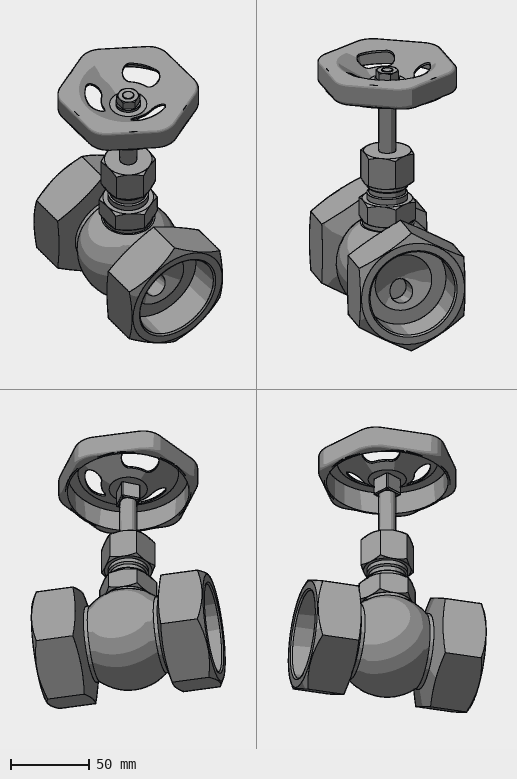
import cadquery as cq
import math

HEX_CORNER_RATIO = 1 / math.cos(math.radians(30))
CHAMFER_SLOPE = math.tan(math.radians(30))

overall_height = 178.3
body_length = 112.0
ball_radius = 32.6
ball_top_z = 27.8
neck_diameter = 49.0
end_flats = 69.9
end_face_diameter = 68.8
end_taper_outer_x = 28.7
end_taper_inner_x = 24.0

socket_diameter = 56.7
socket_mouth_diameter = 58.8
socket_depth = 20.9
cone_mouth_diameter = 37.8
cone_depth = 10.7
port_diameter = 15.0
port_mouth_z = -7.0
port_end_x = 16.5
port_tilt = 10.0

collar_diameter = 32.0
bonnet_flats = 32.3
bonnet_bottom_z = 30.7
bonnet_top_z = 45.0
thread_diameter = 26.0
groove_diameter = 23.7
groove_bottom_z = 49.4
groove_bottom_taper = 0.5
groove_top_z = 52.6
groove_top_taper = 1.0
gland_flats = 30.3
gland_bottom_z = 56.5
gland_top_z = 77.5

stem_diameter = 11.0
square_side = 12.5
square_bottom_z = 112.5
square_corner_chamfer = 0.7
square_end_inset = 0.5
square_end_height = 1.0
square_angle = 30.0

wheel_top_z = overall_height - end_flats * HEX_CORNER_RATIO / 2
wheel_height = 16.2
wheel_bottom_z = wheel_top_z - wheel_height
wheel_flats = 82.0
wheel_corner_radius = 15.0
wheel_edge_radius = 2.9
wheel_angle = 0.5
dish_diameter = 63.5
dish_lip_radius = 3.0
hub_diameter = 23.7
hub_top_z = 125.0
web_thickness = 1.0
rim_ring_diameter = 80.0
rim_ring_drop = 0.65
rim_inner_diameter = 77.7
slot_count = 3
slot_path_radius = 22.5
slot_width = 10.3
slot_half_angle = 19.0
slot_start_angle = 3.0

washer_diameter = 15.9
washer_height = 1.6
nut_flats = 13.0
nut_top_z = 132.5
tip_diameter = 7.3
tip_height = 0.4
tip_chamfer = 0.32


def revolve_z(points):
    """Solid of revolution about Z from (radius, z) points."""
    return cq.Workplane("XZ").polyline(points).close().revolve(360, (0, 0), (0, 1))


def cylinder(diameter, bottom_z, top_z):
    return cq.Workplane("XY").workplane(offset=bottom_z).circle(diameter / 2).extrude(top_z - bottom_z)


def hexagon_nut(flats, bottom_z, top_z, chamfer_bottom=True):
    """Hexagon with corners on X, chamfered at 30 degrees from the flats to the corners."""
    corner_radius = flats * HEX_CORNER_RATIO / 2
    face_radius = flats / 2
    drop = (corner_radius - face_radius) * CHAMFER_SLOPE
    blank = cq.Workplane("XY").workplane(offset=bottom_z)
    blank = blank.polygon(6, 2 * corner_radius).extrude(top_z - bottom_z)
    if chamfer_bottom:
        bottom = [(0, bottom_z), (face_radius, bottom_z), (corner_radius, bottom_z + drop)]
    else:
        bottom = [(0, bottom_z), (corner_radius, bottom_z)]
    top = [(corner_radius, top_z - drop), (face_radius, top_z), (0, top_z)]
    return blank.intersect(revolve_z(bottom + top))


def pipe_end():
    """Hexagonal end on the -X side, with a chamfered face and a tapered back."""
    corner_radius = end_flats * HEX_CORNER_RATIO / 2
    face_radius = end_face_diameter / 2
    neck_radius = neck_diameter / 2
    face_x = -body_length / 2
    chamfer_x = face_x + (corner_radius - face_radius) * CHAMFER_SLOPE
    envelope = (
        cq.Workplane("XY")
        .polyline([
            (face_x, 0), (face_x, face_radius), (chamfer_x, corner_radius),
            (-end_taper_outer_x, corner_radius), (-end_taper_inner_x, neck_radius),
            (0, neck_radius), (0, 0),
        ])
        .close()
        .revolve(360, (0, 0), (1, 0))
    )
    hexagon = (
        cq.Workplane("YZ", origin=(face_x, 0, 0))
        .polygon(6, 2 * corner_radius)
        .extrude(body_length / 2)
        .rotate((0, 0, 0), (1, 0, 0), 90)
    )
    return hexagon.intersect(envelope)


def pipe_bore():
    """Socket, drilled cone and offset, sloping blind port on the -X side."""
    face_x = -body_length / 2
    floor_x = face_x + socket_depth
    socket_radius = socket_diameter / 2
    mouth_radius = socket_mouth_diameter / 2
    mouth_end_x = face_x + mouth_radius - socket_radius
    socket = (
        cq.Workplane("XY")
        .polyline([
            (face_x, 0), (face_x, mouth_radius), (mouth_end_x, socket_radius), (floor_x, socket_radius),
            (floor_x, cone_mouth_diameter / 2), (floor_x + cone_depth, 0),
        ])
        .close()
        .revolve(360, (0, 0), (1, 0))
    )
    port_limit = (
        cq.Workplane("YZ", origin=(-port_end_x, 0, 0))
        .circle(socket_radius)
        .extrude(face_x + port_end_x)
    )
    port = (
        cq.Workplane("YZ", origin=(floor_x, 0, port_mouth_z))
        .circle(port_diameter / 2)
        .extrude(-floor_x)
        .rotate((floor_x, 0, port_mouth_z), (floor_x, 1, port_mouth_z), port_tilt)
        .intersect(port_limit)
    )
    return socket.union(port)


def body():
    ball = cq.Workplane("XY").sphere(ball_radius)
    ball = ball.intersect(cylinder(2 * ball_radius, -ball_radius, ball_top_z))
    end = pipe_end()
    bore = pipe_bore()
    solid = ball.union(end).union(end.mirror("YZ"))
    return solid.cut(bore).cut(bore.mirror("YZ"))


def bonnet():
    thread_radius = thread_diameter / 2
    groove_radius = groove_diameter / 2
    thread = revolve_z([
        (0, bonnet_top_z), (thread_radius, bonnet_top_z),
        (thread_radius, groove_bottom_z - groove_bottom_taper), (groove_radius, groove_bottom_z),
        (groove_radius, groove_top_z),
        (thread_radius, groove_top_z + groove_top_taper), (thread_radius, gland_bottom_z), (0, gland_bottom_z),
    ])
    return (
        cylinder(collar_diameter, ball_top_z, bonnet_bottom_z)
        .union(hexagon_nut(bonnet_flats, bonnet_bottom_z, bonnet_top_z))
        .union(thread)
        .union(hexagon_nut(gland_flats, gland_bottom_z, gland_top_z))
    )


def stem():
    square = (
        cq.Workplane("XY", origin=(0, 0, square_bottom_z))
        .rect(square_side, square_side)
        .extrude(hub_top_z - square_bottom_z)
        .edges("|Z").chamfer(square_corner_chamfer)
        .faces("<Z").chamfer(square_end_height, square_end_inset)
        .rotate((0, 0, 0), (0, 0, 1), square_angle)
    )
    return cylinder(stem_diameter, gland_top_z, square_bottom_z).union(square)


def wheel_slot():
    """Kidney-shaped cutter centred on the +X direction, through the full wheel height."""
    inner = slot_path_radius - slot_width / 2
    outer = slot_path_radius + slot_width / 2

    def at(radius, degrees):
        angle = math.radians(degrees)
        return (radius * math.cos(angle), radius * math.sin(angle))

    start = at(slot_path_radius, -slot_half_angle)
    finish = at(slot_path_radius, slot_half_angle)
    tangent = math.radians(slot_half_angle)
    reach_x = slot_width / 2 * math.sin(tangent)
    reach_y = slot_width / 2 * math.cos(tangent)
    return (
        cq.Workplane("XY", origin=(0, 0, wheel_bottom_z))
        .moveTo(*at(outer, -slot_half_angle))
        .threePointArc((outer, 0), at(outer, slot_half_angle))
        .threePointArc((finish[0] - reach_x, finish[1] + reach_y), at(inner, slot_half_angle))
        .threePointArc((inner, 0), at(inner, -slot_half_angle))
        .threePointArc((start[0] - reach_x, start[1] - reach_y), at(outer, -slot_half_angle))
        .close()
        .extrude(wheel_height)
    )


def handwheel():
    blank = (
        cq.Workplane("XY", origin=(0, 0, wheel_bottom_z))
        .polygon(6, wheel_flats * HEX_CORNER_RATIO)
        .extrude(wheel_height)
        .edges("|Z").fillet(wheel_corner_radius)
        .faces("<Z or >Z").edges().fillet(wheel_edge_radius)
        .rotate((0, 0, 0), (0, 0, 1), wheel_angle)
    )
    blank = blank.union(cylinder(rim_ring_diameter, wheel_bottom_z, wheel_top_z - rim_ring_drop))

    dish_radius = dish_diameter / 2
    hub_radius = hub_diameter / 2
    dish = revolve_z([(0, wheel_top_z), (dish_radius, wheel_top_z), (hub_radius, hub_top_z), (0, hub_top_z)])

    cone_angle = math.atan2(wheel_top_z - hub_top_z, dish_radius - hub_radius)
    corner_shift = web_thickness * math.tan(cone_angle / 2)
    ceiling_z = wheel_top_z - web_thickness
    hub_bottom_z = hub_top_z - web_thickness
    rim_radius = rim_inner_diameter / 2
    underside = revolve_z([
        (0, wheel_bottom_z), (0, hub_bottom_z), (hub_radius + corner_shift, hub_bottom_z),
        (dish_radius + corner_shift, ceiling_z), (rim_radius, ceiling_z), (rim_radius, wheel_bottom_z),
    ])

    lip_reach = dish_radius + web_thickness
    lip_box = cq.selectors.BoxSelector(
        (-lip_reach, -lip_reach, ceiling_z),
        (lip_reach, lip_reach, wheel_top_z + web_thickness),
        boundingbox=True,
    )
    wheel = blank.cut(dish).edges(lip_box).fillet(dish_lip_radius).cut(underside)
    slot = wheel_slot()
    for index in range(slot_count):
        wheel = wheel.cut(slot.rotate((0, 0, 0), (0, 0, 1), slot_start_angle + index * 360 / slot_count))
    return wheel


def wheel_nut():
    washer_top_z = hub_top_z + washer_height
    return (
        cylinder(washer_diameter, hub_top_z, washer_top_z)
        .union(hexagon_nut(nut_flats, washer_top_z, nut_top_z, chamfer_bottom=False))
        .union(cylinder(tip_diameter, nut_top_z, nut_top_z + tip_height).faces(">Z").chamfer(tip_chamfer))
    )


result = body().union(bonnet()).union(stem()).union(handwheel()).union(wheel_nut())